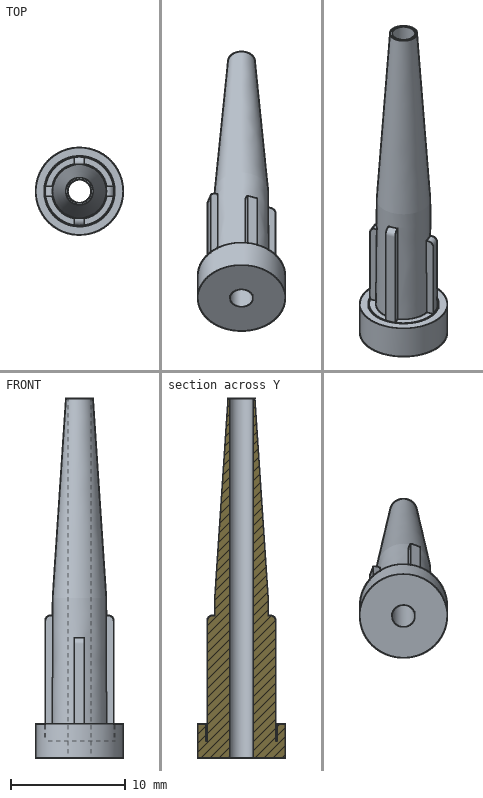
import cadquery as cq

total_height = 31.5
shoulder_height = 14.02
collar_height = 3.0

collar_diameter = 7.7
groove_outer_diameter = 6.2
groove_inner_diameter = 6.02
groove_depth = collar_height / 2

base_radius = 2.43
shoulder_radius = 2.35
tip_radius = 1.2
bore_radius = 1.0

rib_span = groove_inner_diameter
rib_width = 0.88
tall_rib_top = 12.5
short_rib_top = 10.52
rib_round = 0.5


def make_nozzle():
    """Solid of revolution with a gentle lower taper and a steeper upper one."""
    return (
        cq.Workplane("XZ")
        .polyline([
            (0, 0),
            (base_radius, 0),
            (base_radius, collar_height),
            (shoulder_radius, shoulder_height),
            (tip_radius, total_height),
            (0, total_height),
        ])
        .close()
        .revolve(360, (0, 0, 0), (0, 1, 0))
    )


def make_collar():
    """Disc at the base with the ring groove cut into its top."""
    disc = cq.Workplane("XY").circle(collar_diameter / 2).extrude(collar_height)
    groove = (
        cq.Workplane("XY")
        .workplane(offset=collar_height - groove_depth)
        .circle(groove_outer_diameter / 2)
        .circle(groove_inner_diameter / 2)
        .extrude(groove_depth)
    )
    return disc.cut(groove)


def make_rib_pair(top, angle):
    """Bar across the nozzle with rounded upper ends, forming two opposite ribs."""
    return (
        cq.Workplane("XY")
        .workplane(offset=collar_height)
        .rect(rib_span, rib_width)
        .extrude(top - collar_height)
        .edges("|Y and >Z")
        .fillet(rib_round)
        .rotate((0, 0, 0), (0, 0, 1), angle)
    )


body = make_collar().union(make_nozzle())
for rib_top, rib_angle in ((tall_rib_top, 0), (short_rib_top, 90)):
    body = body.union(make_rib_pair(rib_top, rib_angle))

bore = cq.Workplane("XY").circle(bore_radius).extrude(total_height)
result = body.cut(bore)